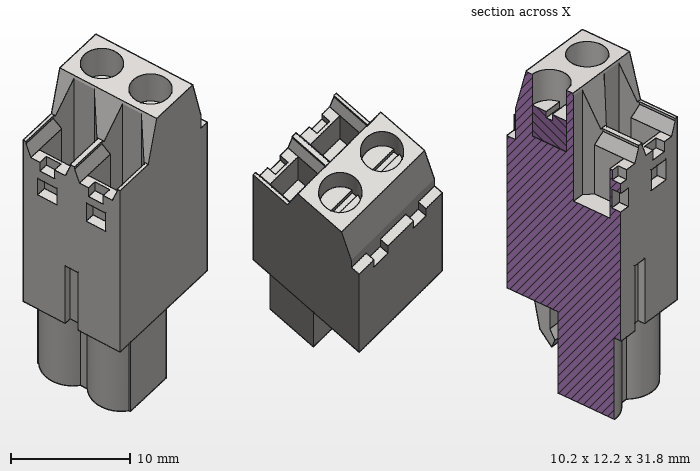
import cadquery as cq


WIDTH = 10.15
DEPTH = 12.2
HEIGHT = 31.8
HALF_WIDTH = WIDTH / 2
POLE_PITCH = 5.1
POLES = (-POLE_PITCH / 2, POLE_PITCH / 2)
BODY_BOTTOM = 8.43
SHOULDER_Z = 27.35
FRONT_SHOULDER_Y = 3.95
TOP_FRONT_Y = 5.12
TOP_REAR_Y = 10.18
REAR_SHOULDER_Y = 11.32
REAR_STEP_Z = 25.82

POCKET_TOP_Z = 31.5
POCKET_BACK_HALF_WIDTH = 1.0
POCKET_EXTRA_WIDTHS = (0.15, 0.0)
POCKET_CORNER = 1.25
FUNNEL_TOP_Z = 27.1
FUNNEL_INSET = 0.5
SHELF_Z = 25.75
SHELF_DEPTH = 1.18
WELL_BOTTOM_Z = 20.67

SHELF_NOTCH_WIDTH = 1.53
SHELF_NOTCH_DEPTH = 0.9
SHELF_NOTCH_BOTTOM_Z = 24.75
WINDOW_WIDTH = 2.0
WINDOW_HEIGHTS = (1.9, 2.13)
WINDOW_DEPTH = 0.95
WINDOW_Z = 22.77

REAR_NOTCHES = ((0.22, 1.53), (-0.13, 1.72))
REAR_NOTCH_HEIGHT = 1.6

SLOT_WIDTH = 1.35
SLOT_DEPTH = 0.7
SLOT_TOP_Z = 15.17

PLUG_HALF_WIDTH = 4.85
PLUG_REAR_Y = 6.75
PLUG_FLAT_Y = 1.72
PLUG_FRONT_Y = 0.7
LOBE_HALF_WIDTH = 2.2

LATCH_WIDTH = 3.18
LATCH_REAR_Y = 10.18
LATCH_FRONT_Y = 8.35
LATCH_BEND = (9.45, 4.9)
LATCH_TIP = (8.17, 3.6)
LATCH_HOOK = (7.82, 4.45)
LATCH_NECK_Z = 5.4

SCREW_DIAMETER = 3.63
SCREW_Y = (TOP_FRONT_Y + TOP_REAR_Y) / 2
SCREW_RECESS = 3.18
SCREW_LENGTH = 3.18
SCREW_TOP_Z = HEIGHT - SCREW_RECESS
SCREW_BOTTOM_Z = SCREW_TOP_Z - SCREW_LENGTH
SCREW_SLOT_WIDTH = 0.65
SCREW_SLOT_DEPTH = 0.65


def block(x_range, y_range, z_range):
    """Axis-aligned block between the given limits."""
    size = [high - low for low, high in (x_range, y_range, z_range)]
    corner = (x_range[0], y_range[0], z_range[0])
    return cq.Workplane("XY").box(*size, centered=False).translate(corner)


def centered_block(x_center, width, y_range, z_range):
    """Block centred across X on x_center."""
    return block((x_center - width / 2, x_center + width / 2), y_range, z_range)


def cylinder(x, bottom_z, height):
    """Upright cylinder of the screw diameter on one pole's screw axis."""
    return (
        cq.Workplane("XY", origin=(x, SCREW_Y, bottom_z))
        .circle(SCREW_DIAMETER / 2)
        .extrude(height)
    )


def housing_shell():
    """Side outline of the housing, extruded across its whole width."""
    outline = [
        (0, BODY_BOTTOM),
        (DEPTH, BODY_BOTTOM),
        (DEPTH, REAR_STEP_Z),
        (REAR_SHOULDER_Y, REAR_STEP_Z),
        (REAR_SHOULDER_Y, SHOULDER_Z),
        (TOP_REAR_Y, HEIGHT),
        (TOP_FRONT_Y, HEIGHT),
        (FRONT_SHOULDER_Y, SHOULDER_Z),
        (0, SHOULDER_Z),
    ]
    return cq.Workplane("YZ").polyline(outline).close().extrude(HALF_WIDTH, both=True)


def plug():
    """Plug with one bulging lobe per pole along its front."""
    outline = cq.Workplane("XY").moveTo(-PLUG_HALF_WIDTH, PLUG_REAR_Y)
    outline = outline.lineTo(-PLUG_HALF_WIDTH, PLUG_FLAT_Y)
    for pole_x in POLES:
        outline = outline.lineTo(pole_x - LOBE_HALF_WIDTH, PLUG_FLAT_Y).threePointArc(
            (pole_x, PLUG_FRONT_Y), (pole_x + LOBE_HALF_WIDTH, PLUG_FLAT_Y)
        )
    outline = outline.lineTo(PLUG_HALF_WIDTH, PLUG_FLAT_Y).lineTo(PLUG_HALF_WIDTH, PLUG_REAR_Y)
    return outline.close().extrude(BODY_BOTTOM)


def latch():
    """Hooked latch hanging from the housing behind the plug."""
    outline = [
        (LATCH_REAR_Y, BODY_BOTTOM),
        LATCH_BEND,
        LATCH_TIP,
        LATCH_HOOK,
        (LATCH_FRONT_Y, LATCH_NECK_Z),
        (LATCH_FRONT_Y, BODY_BOTTOM),
    ]
    return cq.Workplane("YZ").polyline(outline).close().extrude(LATCH_WIDTH / 2, both=True)


def wire_pocket(pole_x, extra_width):
    """Space cut out for one wire: the plan shape limited to the funnel, less the shelf."""
    back_left = pole_x - POCKET_BACK_HALF_WIDTH
    back_right = pole_x + POCKET_BACK_HALF_WIDTH + extra_width
    wide_left = back_left - POCKET_CORNER
    wide_right = back_right + POCKET_CORNER
    well_left = wide_left + FUNNEL_INSET
    well_right = wide_right - FUNNEL_INSET

    slope = (TOP_FRONT_Y - FRONT_SHOULDER_Y) / (HEIGHT - SHOULDER_Z)
    back_y = TOP_FRONT_Y - slope * (HEIGHT - POCKET_TOP_Z)
    corner_y = back_y - POCKET_CORNER

    plan = [
        (wide_left, 0),
        (wide_right, 0),
        (wide_right, corner_y),
        (back_right, back_y),
        (back_left, back_y),
        (wide_left, corner_y),
    ]
    prism = (
        cq.Workplane("XY", origin=(0, 0, WELL_BOTTOM_Z))
        .polyline(plan)
        .close()
        .extrude(POCKET_TOP_Z - WELL_BOTTOM_Z)
    )
    funnel = [
        (well_left, WELL_BOTTOM_Z),
        (well_right, WELL_BOTTOM_Z),
        (well_right, SHELF_Z),
        (wide_right, FUNNEL_TOP_Z),
        (wide_right, POCKET_TOP_Z),
        (wide_left, POCKET_TOP_Z),
        (wide_left, FUNNEL_TOP_Z),
        (well_left, SHELF_Z),
    ]
    section = cq.Workplane("XZ").polyline(funnel).close().extrude(-DEPTH)
    shelf = block((wide_left, wide_right), (0, SHELF_DEPTH), (WELL_BOTTOM_Z, SHELF_Z))
    return prism.intersect(section).cut(shelf)


def shelf_notch(pole_x):
    """Notch in the front edge of the pocket shelf."""
    z_range = (SHELF_NOTCH_BOTTOM_Z, SHELF_Z)
    return centered_block(pole_x, SHELF_NOTCH_WIDTH, (0, SHELF_NOTCH_DEPTH), z_range)


def test_window(pole_x, height):
    """Blind rectangular window in the front face."""
    z_range = (WINDOW_Z - height / 2, WINDOW_Z + height / 2)
    return centered_block(pole_x, WINDOW_WIDTH, (0, WINDOW_DEPTH), z_range)


def rear_notch(pole_x, offset, width):
    """Notch sunk into the rear step, open at the back."""
    z_range = (REAR_STEP_Z - REAR_NOTCH_HEIGHT, REAR_STEP_Z)
    return centered_block(pole_x + offset, width, (REAR_SHOULDER_Y, DEPTH), z_range)


def make_housing():
    """Housing with plug and latch, cut for wires, screws, notches and the coding slot."""
    body = housing_shell().union(plug()).union(latch())
    for pole_x, extra_width, window_height, (notch_offset, notch_width) in zip(
        POLES, POCKET_EXTRA_WIDTHS, WINDOW_HEIGHTS, REAR_NOTCHES
    ):
        body = body.cut(wire_pocket(pole_x, extra_width))
        body = body.cut(shelf_notch(pole_x))
        body = body.cut(test_window(pole_x, window_height))
        body = body.cut(rear_notch(pole_x, notch_offset, notch_width))
        body = body.cut(cylinder(pole_x, SCREW_BOTTOM_Z, HEIGHT - SCREW_BOTTOM_Z))
    coding_slot = centered_block(0, SLOT_WIDTH, (0, SLOT_DEPTH), (BODY_BOTTOM, SLOT_TOP_Z))
    return body.cut(coding_slot)


def make_screw(pole_x):
    """Screw filling the lower part of its hole, with a driver slot across the top."""
    screw = cylinder(pole_x, SCREW_BOTTOM_Z, SCREW_LENGTH)
    slot_y_range = (SCREW_Y - SCREW_SLOT_WIDTH / 2, SCREW_Y + SCREW_SLOT_WIDTH / 2)
    slot_z_range = (SCREW_TOP_Z - SCREW_SLOT_DEPTH, SCREW_TOP_Z)
    return screw.cut(centered_block(pole_x, SCREW_DIAMETER, slot_y_range, slot_z_range))


housing = make_housing()
screws = [make_screw(pole_x) for pole_x in POLES]

result = cq.Compound.makeCompound([housing.val(), *[screw.val() for screw in screws]])